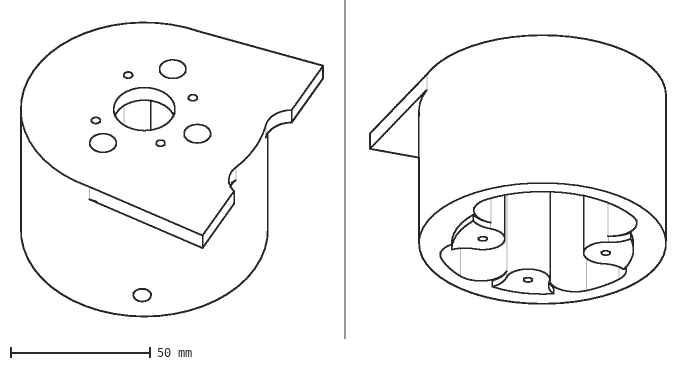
import cadquery as cq
import math

body_radius = 44.45
wall_thickness = 6.35
cavity_radius = body_radius - wall_thickness
body_height = 60.96
top_thickness = 6.35

flange_reach = 47.625
flare_angle = math.radians(5)
flange_half_width = body_radius + flange_reach * math.tan(flare_angle)
notch_radius = 9.525
notch_center_y = 14.7

center_bore_diameter = 22.0
small_hole_diameter = 3.175
small_hole_spacing = 26.0

boss_circle_radius = 22.86
boss_angles = (90, -7, -104)
boss_radius = 7.9375
boss_blend_radius = 9.525

foot_height = 2.54
foot_outer_radius = 32.7
foot_blend_wall_radius = 39.7
foot_blend_radius = 10.32

screw_hole_diameter = 3.175
counterbore_diameter = 9.525
screw_seat_thickness = 6.35

side_hole_diameter = 6.35
side_hole_angle = -64.5
side_hole_height = 10.8

boss_height = body_height + foot_height


def downward_cylinder(radius, height):
    """Cylinder on the Z axis reaching down from the top face."""
    return cq.Workplane("XY").circle(radius).extrude(-height)


def make_flange():
    """Flared plate with an edge notch that follows the body between two round reliefs."""
    relief_distance = body_radius + notch_radius
    relief_angle = math.asin(notch_center_y / relief_distance)
    relief_x = relief_distance * math.cos(relief_angle)
    touch_x = body_radius * math.cos(relief_angle)
    touch_y = body_radius * math.sin(relief_angle)
    mouth_y = notch_center_y + math.sqrt(notch_radius**2 - (flange_reach - relief_x) ** 2)
    relief_left_x = relief_x - notch_radius
    return (
        cq.Workplane("XY")
        .moveTo(0, body_radius)
        .lineTo(flange_reach, flange_half_width)
        .lineTo(flange_reach, mouth_y)
        .threePointArc((relief_left_x, notch_center_y), (touch_x, touch_y))
        .threePointArc((body_radius, 0), (touch_x, -touch_y))
        .threePointArc((relief_left_x, -notch_center_y), (flange_reach, -mouth_y))
        .lineTo(flange_reach, -flange_half_width)
        .lineTo(0, -body_radius)
        .close()
        .extrude(-top_thickness)
    )


def make_blended_boss(wall_radius, blend_radius, height):
    """Boss on the +X axis, blended by two concave arcs into a round wall and overlapping that wall."""
    to_axis = wall_radius - blend_radius
    to_boss = boss_radius + blend_radius
    blend_x = (to_axis**2 - to_boss**2 + boss_circle_radius**2) / (2 * boss_circle_radius)
    blend_y = math.sqrt(to_axis**2 - blend_x**2)

    wall_x = blend_x * wall_radius / to_axis
    wall_y = blend_y * wall_radius / to_axis
    side_x = boss_circle_radius + (blend_x - boss_circle_radius) * boss_radius / to_boss
    side_y = blend_y * boss_radius / to_boss

    start_angle = math.atan2(side_y - blend_y, side_x - blend_x)
    end_angle = math.atan2(wall_y - blend_y, wall_x - blend_x)
    middle_angle = (start_angle + end_angle) / 2
    middle_x = blend_x + blend_radius * math.cos(middle_angle)
    middle_y = blend_y + blend_radius * math.sin(middle_angle)

    root_x = (wall_radius + body_radius) / 2
    root_scale = root_x / wall_radius
    return (
        cq.Workplane("XY")
        .moveTo(wall_x, wall_y)
        .threePointArc((middle_x, middle_y), (side_x, side_y))
        .threePointArc((boss_circle_radius - boss_radius, 0), (side_x, -side_y))
        .threePointArc((middle_x, -middle_y), (wall_x, -wall_y))
        .lineTo(wall_x * root_scale, -wall_y * root_scale)
        .threePointArc((root_x, 0), (wall_x * root_scale, wall_y * root_scale))
        .close()
        .extrude(-height)
    )


def make_boss():
    """Boss inside the cup with a foot below the rim, both on the +X axis."""
    inner_boss = make_blended_boss(cavity_radius, boss_blend_radius, body_height)
    foot = make_blended_boss(foot_blend_wall_radius, foot_blend_radius, foot_height)
    foot = foot.intersect(downward_cylinder(foot_outer_radius, foot_height))
    return inner_boss.union(foot.translate((0, 0, -body_height)))


def make_screw_hole():
    """Through hole with a deep counterbore from the top, placed for the boss on the +X axis."""
    hole = downward_cylinder(screw_hole_diameter / 2, boss_height)
    counterbore = downward_cylinder(counterbore_diameter / 2, boss_height - screw_seat_thickness)
    return hole.union(counterbore).translate((boss_circle_radius, 0, 0))


def make_side_hole():
    """Radial hole through one side of the wall, its height taken from the cup rim."""
    hole_start = cavity_radius - side_hole_diameter
    hole_z = side_hole_height - body_height
    hole = (
        cq.Workplane("YZ", origin=(hole_start, 0, hole_z))
        .circle(side_hole_diameter / 2)
        .extrude(body_radius)
    )
    return about_axis(hole, side_hole_angle)


def about_axis(shape, angle):
    """Turn a shape about the Z axis."""
    return shape.rotate((0, 0, 0), (0, 0, 1), angle)


cavity = downward_cylinder(cavity_radius, body_height).cut(downward_cylinder(cavity_radius, top_thickness))
result = downward_cylinder(body_radius, body_height).union(make_flange()).cut(cavity)

for boss_angle in boss_angles:
    result = result.union(about_axis(make_boss(), boss_angle))
    result = result.cut(about_axis(make_screw_hole(), boss_angle))

result = result.cut(downward_cylinder(center_bore_diameter / 2, top_thickness))
small_holes = (
    cq.Workplane("XY")
    .rect(small_hole_spacing, small_hole_spacing, forConstruction=True)
    .vertices()
    .circle(small_hole_diameter / 2)
    .extrude(-top_thickness)
)
result = result.cut(small_holes)

result = result.cut(make_side_hole())